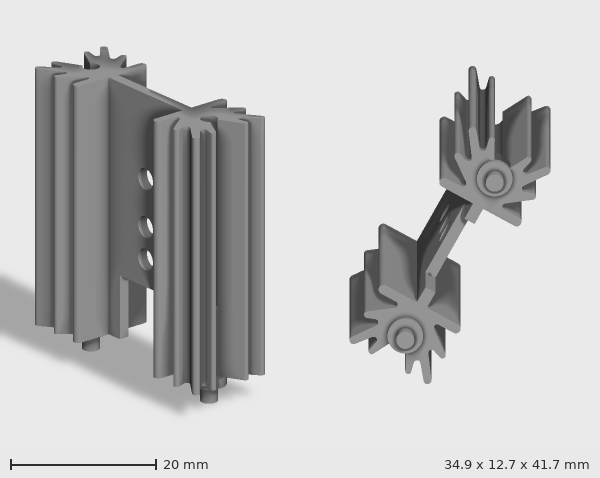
import cadquery as cq
import math

total_height = 41.7
total_width = 34.9
total_depth = 12.7

pin_diameter = 2.45
pin_spacing = 25.35
pin_depth_in_bore = 10.0
collar_diameter = 4.9
collar_height = 1.2
pin_below_body = 3.7
body_height = total_height - pin_below_body

web_thickness = 1.6
web_length = 15.95
hole_diameter = 3.15
hole_depths_from_top = (12.65, 19.72, 24.5)
notch_width = 11.05
notch_height = 9.42

flat_fin_thickness = 1.35
valley_radius = 0.45
small_tip_radius = 0.45
corner_tip_radius = 0.55
end_tip_radius = 0.4
bore_mouth_width = 1.35

half_width = total_width / 2
half_depth = total_depth / 2
web_end = web_length / 2
pin_x = pin_spacing / 2
bore_radius = pin_diameter / 2
mouth_y = bore_mouth_width / 2
mouth_x = pin_x + math.sqrt(bore_radius**2 - mouth_y**2)
flat_tip_radius = flat_fin_thickness / 2
flat_tip_x = web_end + flat_tip_radius
flat_root_x = web_end + flat_fin_thickness + valley_radius

quarter_rounds = [
    (web_end, web_thickness / 2, 0),
    (flat_tip_x, half_depth - flat_tip_radius, flat_tip_radius),
    (flat_root_x, 3.38, -valley_radius),
    (12.8, half_depth - small_tip_radius, small_tip_radius),
    (13.25, 4.45, -valley_radius),
    (16.9, half_depth - corner_tip_radius, corner_tip_radius),
    (15.5, 3.4, -valley_radius),
    (half_width - end_tip_radius, 2.88, end_tip_radius),
    (mouth_x, mouth_y, 0),
]


def tangent_line(start, end):
    """Ends and left-hand normal angle of the line that touches two rounds in turn."""
    x1, y1, r1 = start
    x2, y2, r2 = end
    distance = math.hypot(x2 - x1, y2 - y1)
    heading = math.atan2(y2 - y1, x2 - x1)
    normal = heading + math.acos((r1 - r2) / distance)
    nx, ny = math.cos(normal), math.sin(normal)
    return (x1 + r1 * nx, y1 + r1 * ny), (x2 + r2 * nx, y2 + r2 * ny), normal


def fin_quarter():
    """Quarter of the fin cluster at +X, +Y, closed along the X axis through the bore."""
    lines = [tangent_line(a, b) for a, b in zip(quarter_rounds, quarter_rounds[1:])]
    outline = cq.Workplane("XY").moveTo(web_end, 0).lineTo(*lines[0][0])
    for index, (_, line_end, normal) in enumerate(lines[:-1]):
        x, y, radius = quarter_rounds[index + 1]
        next_start, _, next_normal = lines[index + 1]
        turn = math.remainder(next_normal - normal, 2 * math.pi)
        middle = normal + turn / 2
        arc_middle = (x + radius * math.cos(middle), y + radius * math.sin(middle))
        outline = outline.lineTo(*line_end).threePointArc(arc_middle, next_start)
    outline = outline.lineTo(mouth_x, mouth_y).lineTo(mouth_x, 0).close()
    return outline.extrude(body_height)


def make_fin_cluster():
    quarter = fin_quarter()
    cluster = quarter.union(quarter.mirror("XZ"))
    bore = cq.Workplane("XY").center(pin_x, 0).circle(bore_radius).extrude(body_height)
    return cluster.cut(bore)


def make_web():
    web = cq.Workplane("XY").box(web_length, web_thickness, body_height, centered=(True, True, False))
    notch = cq.Workplane("XY").box(notch_width, web_thickness, notch_height, centered=(True, True, False))
    hole_points = [(0, body_height - depth) for depth in hole_depths_from_top]
    holes = cq.Workplane("XZ").pushPoints(hole_points).circle(hole_diameter / 2)
    return web.cut(notch).cut(holes.extrude(web_thickness / 2, both=True))


def make_pin():
    pin = cq.Workplane("XY", origin=(pin_x, 0, -pin_below_body)).circle(bore_radius)
    pin = pin.extrude(pin_below_body + pin_depth_in_bore)
    collar = cq.Workplane("XY", origin=(pin_x, 0, -collar_height)).circle(collar_diameter / 2)
    return pin.union(collar.extrude(collar_height))


right_side = make_fin_cluster().union(make_pin())
left_side = right_side.mirror("YZ")
result = make_web().union(right_side).union(left_side)